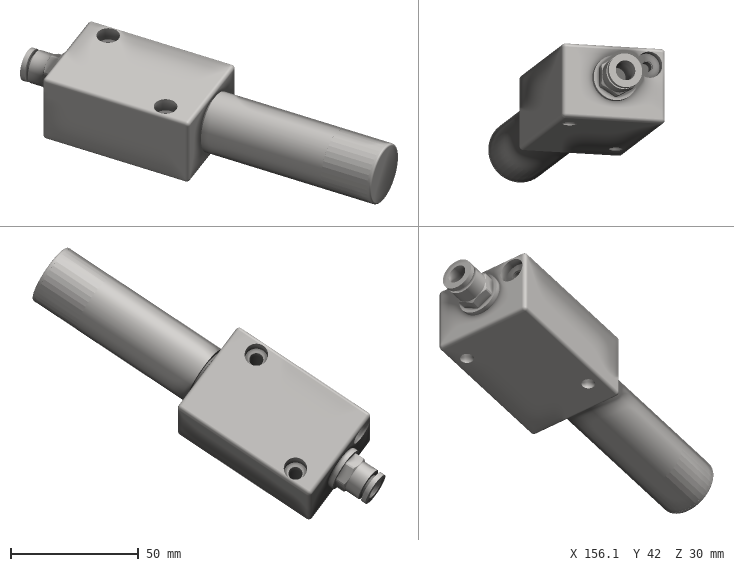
import cadquery as cq
import math


body_start = 16.7
body_length = 64.0
body_width = 42.0
body_height = 30.0
body_round = 1.5
body_end = body_start + body_length

axis_z = 1.5

ring_end = 2.0
groove_end = 3.5
collar_end = 9.7
hex_end = 14.2
fitting_diameter = 13.6
groove_diameter = 9.0
hex_flats = 13.7
hex_corner_diameter = 15.5
hex_face_diameter = 13.6
hex_chamfer_length = 0.6
flange_end = 16.2
flange_diameter = 18.0
seal_diameter = 17.2
tube_bore_diameter = 8.0
tube_bore_depth = 14.0

total_length = 156.1
neck_lip_end = 81.2
sleeve_start = 82.0
knurl_start = 134.5
knurl_end = 154.5
neck_lip_diameter = 21.0
neck_diameter = 21.5
sleeve_diameter = 25.0
knurl_count = 36
knurl_turn = -1.5
knob_round = 0.8

mount_x = (27.8, 67.7)
mount_y = 15.0
mount_hole_diameter = 5.5
mount_bore_diameter = 9.2
mount_bore_depth = 5.6

pocket_y = -14.4
pocket_z = 8.1
pocket_diameter = 10.5
pocket_depth = 3.7
screw_hole_diameter = 4.0
screw_mouth_diameter = 4.7
screw_mouth_depth = 0.5
screw_hole_depth = 4.7


def section_at(x, y=0.0, z=axis_z):
    """Workplane across the X axis, facing +X, centred on (y, z)."""
    return cq.Workplane("YZ", origin=(x, y, z))


def rod(start, end, diameter, y=0.0, z=axis_z):
    """Cylinder along X from start to end."""
    return section_at(start, y, z).circle(diameter / 2).extrude(end - start)


def make_body():
    block = cq.Workplane("XY").box(body_length, body_width, body_height)
    block = block.edges().fillet(body_round)
    return block.translate((body_start + body_length / 2, 0, 0))


def make_hex():
    """Hexagon with corners up and down, turned round and chamfered on the tube side."""
    length = hex_end - collar_end
    sharp_diameter = hex_flats / math.cos(math.pi / 6)
    prism = section_at(collar_end).transformed(rotate=(0, 0, 90))
    prism = prism.polygon(6, sharp_diameter).extrude(length)
    profile = [
        (collar_end, 0),
        (collar_end, hex_face_diameter / 2),
        (collar_end + hex_chamfer_length, hex_corner_diameter / 2),
        (hex_end, hex_corner_diameter / 2),
        (hex_end, 0),
    ]
    turned = cq.Workplane("XZ").polyline(profile).close().revolve(360, (0, 0), (1, 0))
    return prism.intersect(turned.translate((0, 0, axis_z)))


def make_fitting():
    fitting = rod(0, ring_end, fitting_diameter)
    fitting = fitting.union(rod(ring_end, groove_end, groove_diameter))
    fitting = fitting.union(rod(groove_end, collar_end, fitting_diameter))
    fitting = fitting.union(make_hex())
    fitting = fitting.union(rod(hex_end, flange_end, flange_diameter))
    return fitting.union(rod(flange_end, body_start, seal_diameter))


def make_knob():
    knob = rod(body_end, neck_lip_end, neck_lip_diameter)
    knob = knob.union(rod(neck_lip_end, sleeve_start, neck_diameter))
    knob = knob.union(rod(sleeve_start, knurl_start, sleeve_diameter))
    grip = section_at(knurl_start).transformed(rotate=(0, 0, knurl_turn))
    grip = grip.polygon(knurl_count, sleeve_diameter)
    knob = knob.union(grip.extrude(knurl_end - knurl_start))
    cap = rod(knurl_end, total_length, sleeve_diameter)
    return knob.union(cap.faces(">X").edges().fillet(knob_round))


def cut_mounting_holes(part):
    top = cq.Workplane("XY", origin=(0, 0, body_height / 2))
    centres = [(mount_x[0], mount_y), (mount_x[1], -mount_y)]
    holes = top.pushPoints(centres).circle(mount_hole_diameter / 2).extrude(-body_height)
    bores = top.pushPoints(centres).circle(mount_bore_diameter / 2).extrude(-mount_bore_depth)
    return part.cut(holes).cut(bores)


def cut_screw_pocket(part):
    floor = body_start + pocket_depth
    part = part.cut(rod(body_start, floor, pocket_diameter, pocket_y, pocket_z))
    part = part.cut(rod(floor, floor + screw_mouth_depth, screw_mouth_diameter, pocket_y, pocket_z))
    return part.cut(rod(floor, floor + screw_hole_depth, screw_hole_diameter, pocket_y, pocket_z))


result = make_body().union(make_fitting()).union(make_knob())
result = cut_mounting_holes(result)
result = cut_screw_pocket(result)
result = result.cut(rod(0, tube_bore_depth, tube_bore_diameter))